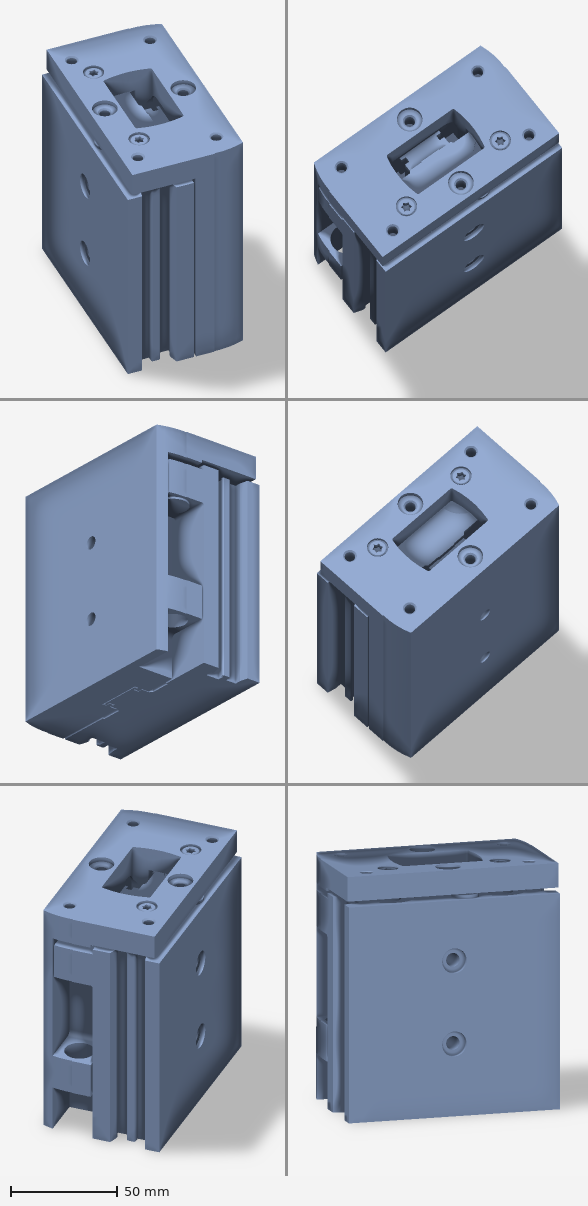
import cadquery as cq
import math

WIDTH = 104.0
DEPTH = 60.0
HEIGHT = 118.0
HALF = WIDTH / 2

HOUSING_TOP = 103.8
HOUSING_BACK = 33.7
TROUGH_BACK = 32.8
TROUGH_HALF = 23.6
RIB_HALF = 47.5
GROOVE_HALF = 44.2
FRONT_PLATE_BACK = 7.3
FRONT_GROOVE = (8.3, 14.0)
REAR_GROOVE = (18.4, 23.6)
REAR_GROOVE_FLOOR = 42.6
REAR_GROOVE_LIP = 1.4
REAR_GROOVE_UNDERCUT = 1.1
RIB_CHAMFER = 0.5
SIDE_SLOPE_BACK = 24.9

RAIL_HALF = 11.6
RAIL_BASE_HALF = 11.8
RAIL_FRONT = 34.0
RAIL_PAD_HALF = 5.2
RAIL_PAD_BACK = 34.3
RAIL_BACK = 42.7
RAIL_TOP = 101.2
KEY_FRONT, KEY_BACK = 38.6, 41.3
RAIL_GROOVE_HALF = 9.0
RAIL_GAP = 0.5

MOUNT_HEIGHTS = (34.8, 74.8)
MOUNT_BORE = 6.6
COUNTERBORE = 12.0
COUNTERBORE_DEPTH = 2.4

ROD_X, ROD_Y = 27.6, 16.0
ROD_DIAMETER = 12.0
BORE_RECESS = 25.0
BORE_RECESS_DEPTH = 0.7
SCREW_POCKET = 10.0
SCREW_POCKET_DEPTH = 1.4
SCREW_HEAD = 8.6
SCREW_HEAD_HEIGHT = 0.8
SCREW_HEAD_CHAMFER = 0.5
SOCKET_TIP_RADIUS = 2.6
SOCKET_ROOT_RADIUS = 1.8
SOCKET_LOBES = 6
SOCKET_DEPTH = 3.0

PLUG_X, PLUG_Y = 8.0, 8.4
PLUG_DIAMETER = 12.9
PLUG_TOP = 105.4
KNOB_DIAMETER = 8.5
KNOB_TOP = 106.1
KNOB_TEETH = 16
KNOB_TOOTH_DEPTH = 0.5

PLATE_FRONT = 2.4
PLATE_BOTTOM = 106.2
CEILING = 104.7
SLIDE_FRONT = 34.8
BACK_PLATE_FRONT = 54.5
SIDE_CURVE_FRONT = 44.1
SIDE_CURVE_STEP = 0.4
SIDE_CURVE_MID = (51.1, 52.6)
BACK_HALF = 49.1
CORE_HALF = 29.5
WINDOW_RADIUS = 2.5
CROSS_BLOCK = (22.7, 40.1)

LUG = (83.8, 101.2)
LUG_BACK = 53.7
LUG_INNER_HALF = 30.7
LUG_FOOT_RADIUS = 1.2
STOP_X, STOP_Y = -41.9, 44.5
STOP_DIAMETER = 16.0
STOP_LENGTH = 1.1
STOP_HOLE = 14.4

OPENING_FRONT, OPENING_BACK = 17.6, 42.2
OPENING_END_HALF = 19.7
OPENING_MID_HALF = 21.4
OPENING_CORNER = 1.0
POCKET_HALF = 20.3
POCKET_BACK = 43.2
POCKET_FLOOR = 83.8
POCKET_RADIUS = 7.3

HOLE_X = 40.1
HOLE_Y = (10.1, 50.2)
HOLE_DIAMETER = 5.0
HOLE_RIM = 6.5
CORNER_HOLE_DEPTH = 9.4
CENTRE_HOLE_DEPTH = HEIGHT - PLATE_BOTTOM


def box(x0, x1, y0, y1, z0, z1):
    return cq.Workplane("XY").box(x1 - x0, y1 - y0, z1 - z0, centered=False).translate((x0, y0, z0))


def cylinder(x, y, z0, z1, diameter):
    return cq.Workplane("XY", origin=(x, y, z0)).circle(diameter / 2).extrude(z1 - z0)


def rounded_side_prism(y_front, z0, z1):
    """Full-width block whose two sides curve inward towards the back face."""
    curve_half = HALF - SIDE_CURVE_STEP
    mid_x, mid_y = SIDE_CURVE_MID
    return (
        cq.Workplane("XY", origin=(0, 0, z0))
        .moveTo(-HALF, y_front)
        .lineTo(HALF, y_front)
        .lineTo(HALF, SIDE_CURVE_FRONT)
        .lineTo(curve_half, SIDE_CURVE_FRONT)
        .threePointArc((mid_x, mid_y), (BACK_HALF, DEPTH))
        .lineTo(-BACK_HALF, DEPTH)
        .threePointArc((-mid_x, mid_y), (-curve_half, SIDE_CURVE_FRONT))
        .lineTo(-HALF, SIDE_CURVE_FRONT)
        .close()
        .extrude(z1 - z0)
    )


def drill_front(body, bore_end):
    """Mounting holes along Y, from the front face to bore_end."""
    for z in MOUNT_HEIGHTS:
        hole = cq.Workplane("XZ", origin=(0, 0, z)).circle(MOUNT_BORE / 2).extrude(-bore_end)
        body = body.cut(hole)
    return body


def housing_profile():
    """Grooved housing body, built as its right half and mirrored about the YZ plane."""
    lip_half = RIB_HALF - REAR_GROOVE_LIP
    slot_front = REAR_GROOVE[0] - REAR_GROOVE_UNDERCUT
    slot_back = REAR_GROOVE[1] + REAR_GROOVE_UNDERCUT
    half_outline = [
        (0, 0),
        (HALF, 0),
        (HALF, FRONT_PLATE_BACK),
        (RIB_HALF, FRONT_GROOVE[0]),
        (GROOVE_HALF, FRONT_GROOVE[0]),
        (GROOVE_HALF, FRONT_GROOVE[1]),
        (RIB_HALF - RIB_CHAMFER, FRONT_GROOVE[1]),
        (RIB_HALF, FRONT_GROOVE[1] + RIB_CHAMFER),
        (RIB_HALF, REAR_GROOVE[0] - RIB_CHAMFER),
        (RIB_HALF - RIB_CHAMFER, REAR_GROOVE[0]),
        (lip_half, REAR_GROOVE[0]),
        (lip_half, slot_front),
        (REAR_GROOVE_FLOOR, slot_front),
        (REAR_GROOVE_FLOOR, slot_back),
        (lip_half, slot_back),
        (lip_half, REAR_GROOVE[1]),
        (RIB_HALF, REAR_GROOVE[1]),
        (HALF, SIDE_SLOPE_BACK),
        (HALF, HOUSING_BACK),
        (TROUGH_HALF, HOUSING_BACK),
        (TROUGH_HALF, TROUGH_BACK),
        (RAIL_BASE_HALF + RAIL_FRONT - TROUGH_BACK, TROUGH_BACK),
        (RAIL_BASE_HALF, RAIL_FRONT),
        (0, RAIL_FRONT),
    ]
    half = cq.Workplane("XY").polyline(half_outline).close().extrude(HOUSING_TOP)
    return half.union(half.mirror("YZ"))


def guide_rail():
    rail = box(-RAIL_HALF, RAIL_HALF, RAIL_FRONT, RAIL_BACK, 0, RAIL_TOP)
    for side in (-1, 1):
        x0, x1 = sorted((side * RAIL_GROOVE_HALF, side * RAIL_HALF))
        rail = rail.cut(box(x0, x1, KEY_FRONT, KEY_BACK, 0, RAIL_TOP))
    return rail.union(box(-RAIL_PAD_HALF, RAIL_PAD_HALF, RAIL_FRONT, RAIL_PAD_BACK, 0, HOUSING_TOP))


def stop_lug():
    """Lug on the left side with a stop pin showing below it."""
    lug = rounded_side_prism(HOUSING_BACK, *LUG)
    lug = lug.intersect(box(-HALF, -LUG_INNER_HALF, HOUSING_BACK, LUG_BACK, *LUG))
    foot = box(-HALF, -LUG_INNER_HALF, HOUSING_BACK, HOUSING_BACK + LUG_FOOT_RADIUS,
               LUG[0] - LUG_FOOT_RADIUS, LUG[0])
    foot_round = (
        cq.Workplane("YZ", origin=(-HALF, HOUSING_BACK + LUG_FOOT_RADIUS, LUG[0] - LUG_FOOT_RADIUS))
        .circle(LUG_FOOT_RADIUS)
        .extrude(WIDTH)
    )
    pin = cylinder(STOP_X, STOP_Y, LUG[0] - STOP_LENGTH, LUG[0], STOP_DIAMETER)
    return lug.union(foot.cut(foot_round)).union(pin)


def plug():
    """Round plug with a toothed knob on the housing top."""
    base = cylinder(PLUG_X, PLUG_Y, HOUSING_TOP, PLUG_TOP, PLUG_DIAMETER)
    tip = KNOB_DIAMETER / 2
    knob = star_prism(PLUG_X, PLUG_Y, PLUG_TOP, KNOB_TOP, tip, tip - KNOB_TOOTH_DEPTH, KNOB_TEETH)
    return base.union(knob)


def star_prism(x, y, z0, z1, tip_radius, root_radius, points):
    outline = []
    for i in range(2 * points):
        radius = tip_radius if i % 2 == 0 else root_radius
        angle = math.pi / 2 + i * math.pi / points
        outline.append((radius * math.cos(angle), radius * math.sin(angle)))
    return cq.Workplane("XY", origin=(x, y, z0)).polyline(outline).close().extrude(z1 - z0)


def make_housing():
    housing = housing_profile().union(guide_rail()).union(stop_lug()).union(plug())
    for side in (-1, 1):
        recess = cylinder(side * ROD_X, ROD_Y, HOUSING_TOP - BORE_RECESS_DEPTH, HOUSING_TOP, BORE_RECESS)
        housing = housing.cut(recess)
    housing = drill_front(housing, RAIL_BACK)
    for z in MOUNT_HEIGHTS:
        seat = cq.Workplane("XZ", origin=(0, 0, z)).circle(COUNTERBORE / 2).extrude(-COUNTERBORE_DEPTH)
        housing = housing.cut(seat)
    return housing


def side_window(z0, z1, rounded_edges):
    """Recess in the left side of the slide, rounded where it meets the core."""
    window = box(-HALF, -CORE_HALF, SLIDE_FRONT, BACK_PLATE_FRONT, z0, z1)
    return window.edges(rounded_edges).fillet(WINDOW_RADIUS)


def plate_opening():
    """Window with bowed sides through the end plate."""
    mid_y = (OPENING_FRONT + OPENING_BACK) / 2
    return (
        cq.Workplane("XY", origin=(0, 0, POCKET_FLOOR))
        .moveTo(-OPENING_END_HALF, OPENING_FRONT)
        .lineTo(OPENING_END_HALF, OPENING_FRONT)
        .threePointArc((OPENING_MID_HALF, mid_y), (OPENING_END_HALF, OPENING_BACK))
        .lineTo(-OPENING_END_HALF, OPENING_BACK)
        .threePointArc((-OPENING_MID_HALF, mid_y), (-OPENING_END_HALF, OPENING_FRONT))
        .close()
        .extrude(HEIGHT - POCKET_FLOOR)
        .edges("|Z")
        .fillet(OPENING_CORNER)
    )


def rail_channel():
    """Channel for the guide rail, with a key left standing in each rail groove."""
    half = RAIL_HALF + RAIL_GAP
    channel = box(-half, half, SLIDE_FRONT, POCKET_BACK, 0, POCKET_FLOOR)
    key_half = RAIL_GROOVE_HALF + RAIL_GAP
    for side in (-1, 1):
        x0, x1 = sorted((side * key_half, side * half))
        key = box(x0, x1, KEY_FRONT + RAIL_GAP / 2, KEY_BACK - RAIL_GAP / 2, 0, POCKET_FLOOR)
        channel = channel.cut(key)
    return channel


def carriage_pocket():
    """Free space above the carriage, with rounded upper corners."""
    pocket = box(-POCKET_HALF, POCKET_HALF, SLIDE_FRONT, POCKET_BACK, POCKET_FLOOR, CEILING)
    return pocket.edges("|Y and >Z").fillet(POCKET_RADIUS)


def plate_hole(x, y, seat, depth):
    """Tapped hole from height seat with a chamfered mouth, depth measured from the top face."""
    hole = cylinder(x, y, HEIGHT - depth, seat, HOLE_DIAMETER)
    cone_height = (HOLE_RIM - HOLE_DIAMETER) / 2
    mouth = (
        cq.Workplane("XY", origin=(x, y, seat))
        .circle(HOLE_RIM / 2)
        .workplane(offset=-cone_height)
        .circle(HOLE_DIAMETER / 2)
        .loft()
    )
    return hole.union(mouth)


def drill_plate(slide):
    """Blind corner holes and counterbored centre holes in the end plate."""
    centre_seat = HEIGHT - COUNTERBORE_DEPTH
    for y in HOLE_Y:
        for x in (-HOLE_X, HOLE_X):
            slide = slide.cut(plate_hole(x, y, HEIGHT, CORNER_HOLE_DEPTH))
        slide = slide.cut(cylinder(0, y, centre_seat, HEIGHT, COUNTERBORE))
        slide = slide.cut(plate_hole(0, y, centre_seat, CENTRE_HOLE_DEPTH))
    return slide


def fit_rod(slide, x):
    """Piston rod below the end plate and its screw head sunk in the top."""
    slide = slide.union(cylinder(x, ROD_Y, HOUSING_TOP - BORE_RECESS_DEPTH, PLATE_BOTTOM, ROD_DIAMETER))
    floor = HEIGHT - SCREW_POCKET_DEPTH
    slide = slide.cut(cylinder(x, ROD_Y, floor, HEIGHT, SCREW_POCKET))
    head_top = floor + SCREW_HEAD_HEIGHT
    head = cylinder(x, ROD_Y, floor, head_top, SCREW_HEAD).faces(">Z").chamfer(SCREW_HEAD_CHAMFER)
    socket = star_prism(x, ROD_Y, head_top - SOCKET_DEPTH, head_top,
                        SOCKET_TIP_RADIUS, SOCKET_ROOT_RADIUS, SOCKET_LOBES)
    return slide.union(head).cut(socket)


def make_slide():
    slide = rounded_side_prism(SLIDE_FRONT, 0, HEIGHT)
    slide = slide.union(box(-HALF, HALF, PLATE_FRONT, SLIDE_FRONT, PLATE_BOTTOM, HEIGHT))
    upper = side_window(CROSS_BLOCK[1], CEILING, "|Y and >X")
    lower = side_window(0, CROSS_BLOCK[0], "|Y and >X and >Z")
    slide = slide.cut(upper).cut(lower)
    slide = slide.cut(cylinder(STOP_X, STOP_Y, *CROSS_BLOCK, STOP_HOLE))
    slide = slide.cut(carriage_pocket()).cut(plate_opening()).cut(rail_channel())
    slide = drill_plate(slide)
    for x in (-ROD_X, ROD_X):
        slide = fit_rod(slide, x)
    return drill_front(slide, DEPTH)


housing = make_housing()
slide = make_slide()
result = cq.Compound.makeCompound([housing.val(), slide.val()])